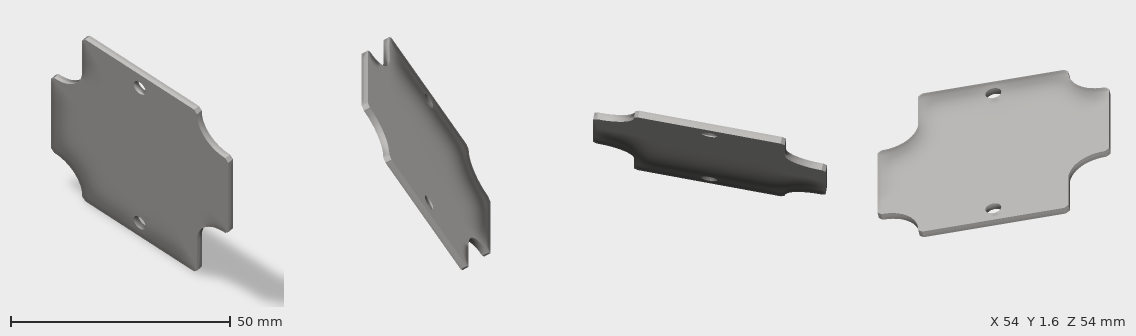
import cadquery as cq

side = 54.0
thickness = 1.6
notch_width = 9.5
short_notch_height = 9.5
tall_notch_height = 19.55
notch_radius = 8.25
chamfer = 0.9
hole_diameter = 3.7
hole_edge_distance = 4.5

half_side = side / 2
hole_offset = half_side - hole_edge_distance


def corner_notch(x_sign, z_sign, height):
    """Cutter for one plate corner, with its inner edge rounded."""
    inner_x = half_side - notch_width
    inner_z = half_side - height
    return (
        cq.Workplane("XZ")
        .moveTo(x_sign * half_side, z_sign * half_side)
        .lineTo(x_sign * inner_x, z_sign * half_side)
        .lineTo(x_sign * inner_x, z_sign * inner_z)
        .lineTo(x_sign * half_side, z_sign * inner_z)
        .close()
        .extrude(thickness / 2, both=True)
        .edges(cq.selectors.NearestToPointSelector((x_sign * inner_x, 0, z_sign * inner_z)))
        .fillet(notch_radius)
    )


plate = cq.Workplane("XY").box(side, thickness, side)

notches = [
    (-1, -1, short_notch_height),
    (1, 1, short_notch_height),
    (-1, 1, tall_notch_height),
    (1, -1, tall_notch_height),
]
for x_sign, z_sign, height in notches:
    plate = plate.cut(corner_notch(x_sign, z_sign, height))

end_corners = plate.faces("<X or >X or <Z or >Z").edges("|Y")
plate = end_corners.chamfer(chamfer)

holes = (
    cq.Workplane("XZ")
    .pushPoints([(0, -hole_offset), (0, hole_offset)])
    .circle(hole_diameter / 2)
    .extrude(thickness / 2, both=True)
)

result = plate.cut(holes)